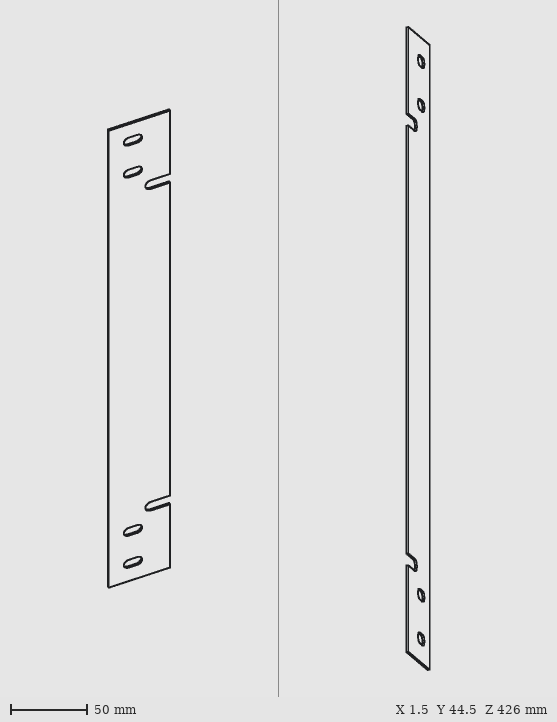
import cadquery as cq

thickness = 1.5
width = 44.5
height = 426.0

hole_length = 13.0
hole_height = 7.2
hole_from_open_edge = 27.0
outer_hole_from_end = 16.0
hole_spacing = 30.0

notch_height = 8.0
notch_depth = 18.0
notch_from_end = 63.0

open_edge_y = width / 2
end_z = height / 2


def oblong_cutter(length, slot_height, y, z):
    """Round-ended bar along Y that passes right through the plate."""
    return (
        cq.Workplane("YZ")
        .center(y, z)
        .slot2D(length, slot_height)
        .extrude(thickness, both=True)
    )


result = cq.Workplane("XY").box(thickness, width, height)

for end in (-1, 1):
    for hole_from_end in (outer_hole_from_end, outer_hole_from_end + hole_spacing):
        hole_y = open_edge_y - hole_from_open_edge
        hole_z = end * (end_z - hole_from_end)
        result = result.cut(oblong_cutter(hole_length, hole_height, hole_y, hole_z))

    notch_z = end * (end_z - notch_from_end)
    result = result.cut(oblong_cutter(2 * notch_depth, notch_height, open_edge_y, notch_z))